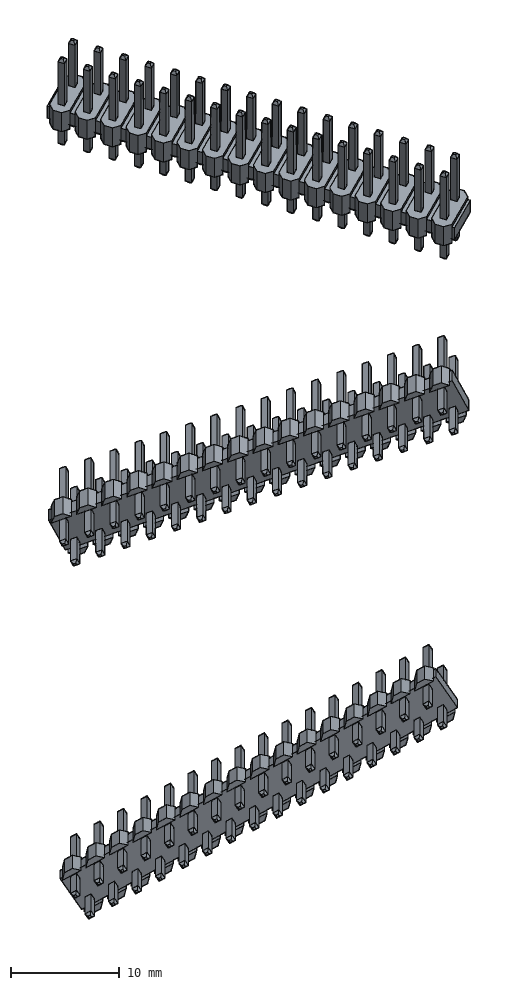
import cadquery as cq

length = 40.65
columns = 16
rows = 2
pitch = length / columns

body_width = 5.0
body_height = 2.5
block_length = 2.05
bar_width = 3.8
bar_drop = 0.35
bar_height = 1.6
corner_chamfer = (body_width - bar_width) / 2
channel_depth = body_height - bar_drop - bar_height

pin_side = 0.65
pin_tip_side = 0.25
pin_taper = 0.33
total_height = 11.4
pin_below_body = 2.95
pin_shank = total_height - 2 * pin_taper

ON_BASE = (True, True, False)


def centred_places(count):
    """Positions of `count` items at the common pitch, centred on zero."""
    return [(i - (count - 1) / 2) * pitch for i in range(count)]


def make_block():
    """Octagonal block of one column, standing on Z = 0."""
    block = cq.Workplane("XY").box(block_length, body_width, body_height, centered=ON_BASE)
    return block.edges("|Z").chamfer(corner_chamfer)


def make_pin():
    """Full-length square pin with both ends tapered."""
    half_shank = pin_shank / 2
    half_pin = (
        cq.Workplane("XY")
        .rect(pin_side, pin_side)
        .extrude(half_shank)
        .faces(">Z")
        .workplane()
        .rect(pin_side, pin_side)
        .workplane(offset=pin_taper)
        .rect(pin_tip_side, pin_tip_side)
        .loft(combine=True)
    )
    pin = half_pin.union(half_pin.mirror("XY"))
    return pin.translate((0, 0, total_height / 2 - pin_below_body))


def make_body():
    """Bar with all blocks, and the lengthwise channel cut in the underside."""
    body = (
        cq.Workplane("XY", origin=(0, 0, channel_depth))
        .box(length, bar_width, bar_height, centered=ON_BASE)
    )
    block = make_block()
    for x in centred_places(columns):
        body = body.union(block.translate((x, 0, 0)))
    channel = cq.Workplane("XY").box(length, bar_width, channel_depth, centered=ON_BASE)
    return body.cut(channel)


result = make_body()
pin = make_pin()
for pin_x in centred_places(columns):
    for pin_y in centred_places(rows):
        result = result.union(pin.translate((pin_x, pin_y, 0)))